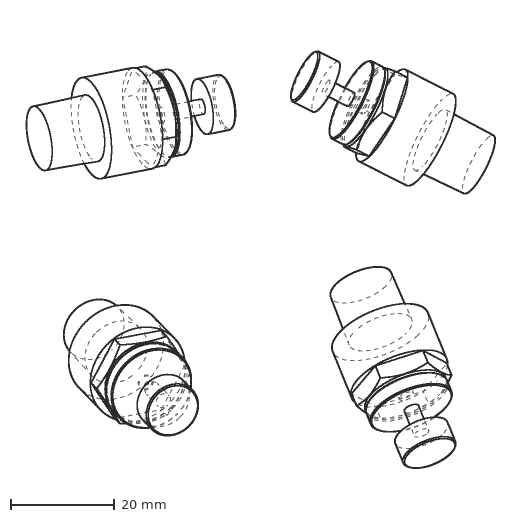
import cadquery as cq
import math

total_length = 39.2

plug_length = 10.98
plug_tip_radius = 6.35
plug_base_radius = 6.6

body_length = 10.78
body_radius = 10.0

hex_length = 3.6
hex_across_flats = 17.0
hex_crown_radius = 8.43
hex_chamfer_angle = 30.0

collar_gap = 0.47
collar_length = 2.95
collar_radius = 8.45
collar_chamfer = 0.25

stem_radius = 1.5

knob_length = 4.82
knob_radius = 5.5
knob_chamfer = 0.27

body_start = plug_length
hex_start = body_start + body_length
hex_end = hex_start + hex_length
collar_start = hex_end + collar_gap
knob_start = total_length - knob_length


def cylinder(start, length, radius):
    """Cylinder on the Y axis, from start towards +Y."""
    return cq.Workplane("XZ", origin=(0, start, 0)).circle(radius).extrude(-length)


def tapered_plug():
    profile = [
        (0, 0),
        (plug_tip_radius, 0),
        (plug_base_radius, plug_length),
        (0, plug_length),
    ]
    return cq.Workplane("XY").polyline(profile).close().revolve(360, (0, 0), (0, 1))


def hex_nut():
    """Hexagon with flats facing +Z and -Z, its corners chamfered at the +Y end."""
    corner_radius = hex_across_flats / 2 / math.cos(math.radians(30))
    prism = (
        cq.Workplane("XZ", origin=(0, hex_start, 0))
        .polygon(6, 2 * corner_radius)
        .extrude(-hex_length)
    )
    chamfer_drop = (corner_radius - hex_crown_radius) * math.tan(math.radians(hex_chamfer_angle))
    envelope_profile = [
        (0, hex_start),
        (corner_radius, hex_start),
        (corner_radius, hex_end - chamfer_drop),
        (hex_crown_radius, hex_end),
        (0, hex_end),
    ]
    envelope = cq.Workplane("XY").polyline(envelope_profile).close().revolve(360, (0, 0), (0, 1))
    return prism.intersect(envelope)


def collar():
    disc = cylinder(collar_start, collar_length, collar_radius)
    return disc.faces("<Y or >Y").edges().chamfer(collar_chamfer)


def knob():
    return cylinder(knob_start, knob_length, knob_radius).faces(">Y").edges().chamfer(knob_chamfer)


stem = cylinder(hex_start, knob_start - hex_start, stem_radius)

result = (
    tapered_plug()
    .union(cylinder(body_start, body_length, body_radius))
    .union(hex_nut())
    .union(stem)
    .union(collar())
    .union(knob())
)